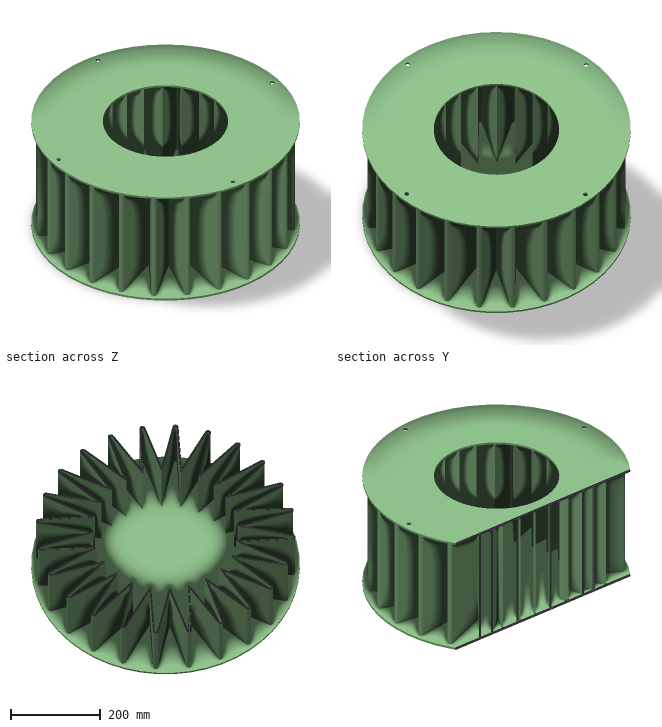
import cadquery as cq
import math

plate_diameter = 600.0
total_height = 280.0
plate_thickness = 5.0

inlet_diameter = 280.0
bolt_hole_diameter = 11.0
bolt_circle_radius = 282.0
bolt_hole_count = 4

blade_count = 24
blade_tip_radius = 290.0
nose_radius = 6.0
sheet_thickness = 3.0
valley_radius = 171.5

blade_pitch = 2 * math.pi / blade_count
nose_centre_radius = blade_tip_radius - nose_radius
wall_height = total_height - 2 * plate_thickness

valley_to_nose_x = nose_centre_radius * math.cos(blade_pitch / 2) - valley_radius
valley_to_nose_y = nose_centre_radius * math.sin(blade_pitch / 2)
valley_to_nose = math.hypot(valley_to_nose_x, valley_to_nose_y)
side_angle = math.atan2(valley_to_nose_y, valley_to_nose_x) - math.asin(nose_radius / valley_to_nose)

taper_angle = side_angle - blade_pitch / 2
inner_valley_radius = valley_radius - sheet_thickness / math.sin(side_angle)


def polar_point(radius, angle):
    return (radius * math.cos(angle), radius * math.sin(angle))


def nose_point(blade_angle, arc_radius, direction):
    """Point on a blade's nose arc, in a direction measured from the blade's centre line."""
    centre_x, centre_y = polar_point(nose_centre_radius, blade_angle)
    offset_x, offset_y = polar_point(arc_radius, blade_angle + direction)
    return (centre_x + offset_x, centre_y + offset_y)


def pleated_prism(fold_radius, arc_radius):
    """Solid star with straight blade sides and tangent nose arcs."""
    tangent_direction = math.pi / 2 - taper_angle
    outline = cq.Workplane("XY").workplane(offset=plate_thickness)
    outline = outline.moveTo(*polar_point(fold_radius, -blade_pitch / 2))
    for index in range(blade_count):
        blade_angle = index * blade_pitch
        outline = outline.lineTo(*nose_point(blade_angle, arc_radius, -tangent_direction))
        outline = outline.threePointArc(
            nose_point(blade_angle, arc_radius, 0),
            nose_point(blade_angle, arc_radius, tangent_direction),
        )
        if index < blade_count - 1:
            outline = outline.lineTo(*polar_point(fold_radius, blade_angle + blade_pitch / 2))
    return outline.close().extrude(wall_height)


def pleated_wall():
    outside = pleated_prism(valley_radius, nose_radius)
    inside = pleated_prism(inner_valley_radius, nose_radius - sheet_thickness)
    return outside.cut(inside)


def plate(bottom_height):
    base = cq.Workplane("XY").workplane(offset=bottom_height)
    return base.circle(plate_diameter / 2).extrude(plate_thickness)


def top_plate():
    """Plate with the central inlet and bolt holes centred over the gaps between blades."""
    first_hole_angle = math.degrees(blade_pitch / 2)
    return (
        plate(total_height - plate_thickness)
        .faces(">Z")
        .workplane()
        .hole(inlet_diameter)
        .faces(">Z")
        .workplane()
        .polarArray(bolt_circle_radius, first_hole_angle, 360, bolt_hole_count)
        .hole(bolt_hole_diameter)
    )


bottom_plate = plate(0)
result = bottom_plate.union(pleated_wall()).union(top_plate())